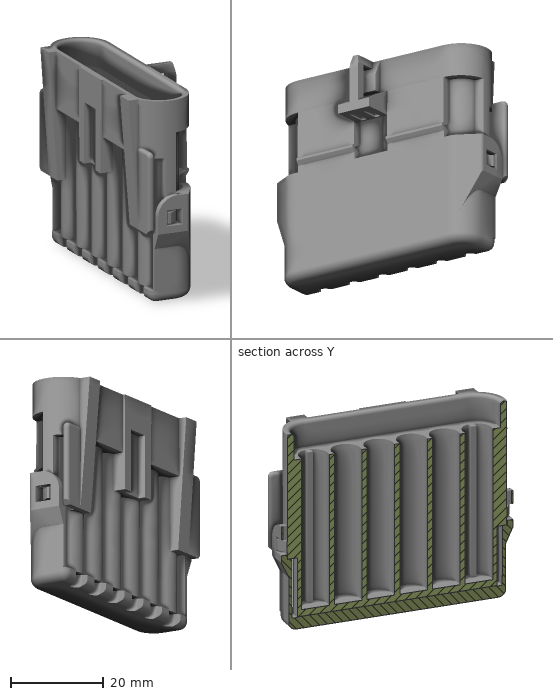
import cadquery as cq
import math


height = 45.55
wing_half_span = 27.55

tube_count = 6
pitch = 7.7
tube_radius = 4.5
tube_bottom_radius = 4.4
bore_radius = 3.35
bore_bottom_z = 4.4
end_tube_x = pitch * (tube_count - 1) / 2
tube_xs = [-end_tube_x + i * pitch for i in range(tube_count)]
key_width = 1.3
key_height = 1.65

shroud_radius = 6.65
shroud_front_z = 32.6
shroud_back_z = 38.15
shroud_step_y = 1.05
cavity_radius = 5.05
cavity_depth = 6.05
cavity_lip = 0.8

shroud_end_x = end_tube_x + shroud_radius
rail_front_y = -1.4
rail_bottom_z = 16.5
nub_reach = 1.4
nub_flat_y = -0.75
nub_bottom_z = 18.2
nub_top_z = 20.65

rib_inner_x = 17.8
rib_outer_x = 22.1
rib_lean = 0.3
rib_bottom_z = 16.2
rib_top_y = -8.5
rib_bottom_y = -6.3
wing_front_y = -6.3
wing_thickness = 1.5
wing_top_z = 34.65
wing_corner = 1.1
wing_round = 0.7

plate_half_top = 5.5
plate_half_bottom = 5.3
plate_bottom_z = 24.35
plate_front_y = -7.15
notch_half_width = 2.85
notch_depth = 1.6
notch_top_z = 38.2

latch_root_y = shroud_radius - 0.55
latch_half_width = 4.15
latch_back_y = 13.1
latch_bottom_z = 32.75
latch_base_back_z = 34.8
latch_bar_z = 43.6
latch_top_y = 12.45
latch_nose_drop = 2.75
latch_post_y = 11.0
latch_slot_x = 2.5
spine_half_width = 1.1
spine_top_half_width = 0.65
ledge_y = 8.5
ledge_slope_z = 41.85

strip_inner_x = 4.4
strip_outer_x = 19.4
hook_tip_y = 7.3
hook_root_y = 6.65
hook_z = 27.05
panel_top_y = 6.7
panel_bottom_y = 6.9
panel_bottom_z = 27.7
panel_lip_z = 27.4
panel_inner_z = 28.15
hook_outer_z = 25.9
hook_tip_thickness = 0.15
hook_inner_z = 26.0
hook_shoulder_y = 5.2
hook_shoulder_z = 26.3

cover_half_length = 25.6
cover_back_y = 6.6
cover_front_y = -3.9
cover_corner = 5.25
cover_top_z = 24.4
cover_inner_half_length = 24.8
cover_inner_back_y = 5.0
cover_inner_corner = 4.95
floor_top_z = 2.75
floor_front_y = -4.7
floor_front_corner = 1.85
floor_round = 1.8
wire_slot_width = 3.0
wire_slot_end_y = -1.9
wire_slot_mouth = 0.9

ear_x = 27.35
ear_slope = 29.0
ear_bottom_z = 16.0
ear_taper_z = 12.35
ear_front_radius = 4.5
ear_corner = 0.8
ear_slot_inner_x = 25.7
ear_slot_outer_x = 26.8
ear_slot_front_y = 1.0
window_front_y = -1.75
window_back_y = 2.05
window_bottom_z = 17.7
window_top_z = 21.25


def box(x0, x1, y0, y1, z0, z1):
    return cq.Workplane("XY").box(x1 - x0, y1 - y0, z1 - z0, centered=False).translate((x0, y0, z0))


def along_x(points, x0, x1):
    """Extrude a (Y, Z) outline from x0 to x1."""
    return cq.Workplane("YZ").polyline(points).close().extrude(x1 - x0).translate((x0, 0, 0))


def along_y(points, y0, y1):
    """Extrude an (X, Z) outline from y0 to y1."""
    return cq.Workplane("XZ").polyline(points).close().extrude(y1 - y0).translate((0, y1, 0))


def oblong(radius, z0, z1):
    """Slot-shaped block around the axes of the end tubes."""
    length = 2 * (end_tube_x + radius)
    return cq.Workplane("XY").workplane(offset=z0).slot2D(length, 2 * radius).extrude(z1 - z0)


def both_ends(shape):
    return shape.union(shape.mirror("YZ"))


def shroud_block():
    """Mating shroud, cut away below a step at the back, with a rail under each end."""
    block = oblong(shroud_radius, rail_bottom_z, height)
    reach = shroud_end_x + 0.55
    block = block.cut(box(-reach, reach, shroud_step_y, shroud_radius + 0.55, 0, shroud_back_z))
    block = block.cut(box(-reach, reach, -shroud_radius - 0.55, rail_front_y, 0, shroud_front_z))
    between_rails = box(-end_tube_x, end_tube_x, rail_front_y, shroud_step_y, 0, shroud_front_z)
    return block.cut(between_rails)


def tubes():
    """Row of overlapping tubes that narrow slightly towards the floor."""
    length = shroud_back_z - floor_top_z
    draft = math.degrees(math.atan((tube_radius - tube_bottom_radius) / length))
    tube = cq.Workplane("XY").workplane(offset=floor_top_z).circle(tube_bottom_radius)
    tube = tube.extrude(length, taper=-draft)
    row = tube.translate((tube_xs[0], 0, 0))
    for x in tube_xs[1:]:
        row = row.union(tube.translate((x, 0, 0)))
    return row


def cavity():
    return oblong(cavity_radius, height - cavity_depth, height)


def bores():
    """Tube bores; the two end bores keep a key along their front."""
    points = [(x, 0) for x in tube_xs]
    depth = height - cavity_depth - bore_bottom_z
    holes = cq.Workplane("XY").workplane(offset=bore_bottom_z).pushPoints(points)
    holes = holes.circle(bore_radius).extrude(depth)
    for x in (tube_xs[0], tube_xs[-1]):
        key = box(x - key_width / 2, x + key_width / 2, -bore_radius - 0.55, key_height - bore_radius,
                  bore_bottom_z, height - cavity_depth)
        holes = holes.cut(key)
    return holes


def front_ribs():
    """Tapered, slightly leaning ribs with thin rounded wings that reach past the shroud's ends."""
    profile = [(0, height), (rib_top_y, height), (rib_bottom_y, rib_bottom_z), (0, rib_bottom_z)]
    rib = along_x(profile, rib_inner_x, rib_outer_x + rib_lean)
    face = [(rib_inner_x, height), (rib_outer_x, height),
            (rib_outer_x + rib_lean, rib_bottom_z), (rib_inner_x + rib_lean, rib_bottom_z)]
    rib = rib.intersect(along_y(face, rib_top_y, 0))
    wing = box(rib_inner_x + rib_lean, wing_half_span, wing_front_y, wing_front_y + wing_thickness,
               rib_bottom_z, wing_top_z)
    wing = wing.edges("|Y").edges("<Z and >X").chamfer(wing_corner)
    wing = wing.edges("|Y").edges(">Z and >X").fillet(wing_corner)
    wing = wing.faces(">X").edges("|Z").fillet(wing_round)
    return both_ends(rib.union(wing))


def front_plate():
    outline = [(-plate_half_top, height), (plate_half_top, height),
               (plate_half_bottom, plate_bottom_z), (-plate_half_bottom, plate_bottom_z)]
    return along_y(outline, plate_front_y, -tube_radius / 2)


def plate_notch():
    return box(-notch_half_width, notch_half_width, plate_front_y, plate_front_y + notch_depth,
               plate_bottom_z, notch_top_z)


def latch_spine():
    """Central loop whose sides lean in along the top bar."""
    outline = [(latch_root_y, height), (latch_top_y, height), (latch_back_y, height - latch_nose_drop),
               (latch_back_y, latch_bottom_z), (latch_root_y, latch_bottom_z)]
    window = [(shroud_radius, latch_bar_z), (latch_post_y, latch_bar_z),
              (latch_post_y, latch_bottom_z), (shroud_radius, latch_bottom_z)]
    spine = along_x(outline, -spine_half_width, spine_half_width)
    spine = spine.cut(along_x(window, -spine_half_width, spine_half_width))
    lean = [(spine_top_half_width, height), (spine_half_width, height), (spine_half_width, latch_bar_z)]
    return spine.cut(both_ends(along_y(lean, latch_root_y, latch_back_y)))


def latch_base():
    """Sloped block under the spine, with an open slot on each side of it."""
    outline = [(latch_root_y, shroud_back_z), (shroud_radius, shroud_back_z),
               (latch_back_y, latch_base_back_z), (latch_back_y, latch_bottom_z),
               (latch_root_y, latch_bottom_z)]
    base = along_x(outline, -latch_half_width, latch_half_width)
    slot = box(spine_half_width, latch_slot_x, shroud_radius, latch_post_y, latch_bottom_z, height)
    return base.cut(both_ends(slot))


def latch_ledge():
    outline = [(latch_root_y, height), (shroud_radius, height), (ledge_y, ledge_slope_z),
               (ledge_y, shroud_back_z), (latch_root_y, shroud_back_z)]
    return along_x(outline, -latch_slot_x, latch_slot_x)


def back_panels():
    """Panels behind the tubes whose lower edges end in an outward lip."""
    profile = [(tube_radius / 2, shroud_back_z), (panel_top_y, shroud_back_z),
               (panel_bottom_y, panel_bottom_z), (hook_tip_y, panel_lip_z), (hook_tip_y, hook_z),
               (hook_root_y, hook_z), (tube_radius, panel_inner_z), (tube_radius / 2, panel_inner_z)]
    return both_ends(along_x(profile, strip_inner_x, strip_outer_x))


def latch_nubs():
    """Ramped nubs that sit in the windows of the cover's ears."""
    outline = [(shroud_end_x - 0.55, shroud_step_y), (shroud_end_x, shroud_step_y),
               (shroud_end_x + nub_reach, nub_flat_y), (shroud_end_x + nub_reach, rail_front_y),
               (shroud_end_x - 0.55, rail_front_y)]
    nub = cq.Workplane("XY").workplane(offset=nub_bottom_z).polyline(outline).close()
    return both_ends(nub.extrude(nub_top_z - nub_bottom_z))


def round_cavity_rim(body):
    """Fillet the top edges that lie just around the cavity's mouth."""
    reach_x = end_tube_x + cavity_radius + cavity_lip / 2
    reach_y = cavity_radius + cavity_lip / 2
    around_cavity = cq.selectors.BoxSelector(
        (-reach_x, -reach_y, height - 0.05), (reach_x, reach_y, height + 0.05), boundingbox=True)
    return body.edges(around_cavity).fillet(cavity_lip)


def make_housing():
    body = shroud_block().union(tubes()).union(front_ribs()).union(front_plate())
    body = body.union(latch_spine()).union(latch_base()).union(latch_ledge())
    body = body.union(back_panels()).union(latch_nubs())
    body = body.cut(plate_notch()).cut(cavity()).cut(bores())
    return round_cavity_rim(body)


def tray_outer():
    """Outside of the back and end walls, with rounded back corners."""
    block = box(-cover_half_length, cover_half_length, cover_front_y, cover_back_y,
                floor_top_z, cover_top_z)
    return block.edges("|Z and >Y").fillet(cover_corner)


def ears():
    """Bulges on the end walls: slanted at the back, tapering into the wall below."""
    slope = math.radians(ear_slope)
    tangent_x = cover_half_length - cover_corner + cover_corner * math.sin(slope)
    tangent_y = cover_back_y - cover_corner + cover_corner * math.cos(slope)
    slant_end_y = tangent_y - (ear_x - tangent_x) * math.tan(slope)
    plan = [(0, cover_front_y), (ear_x, cover_front_y), (ear_x, slant_end_y),
            (tangent_x, tangent_y), (0, tangent_y)]
    ear = cq.Workplane("XY").polyline(plan).close().extrude(cover_top_z)
    ear = ear.faces(">X").edges("|Z").edges(">Y").fillet(ear_corner)
    taper = (ear_x - cover_half_length) / (ear_bottom_z - ear_taper_z)
    side = [(0, cover_top_z), (ear_x, cover_top_z), (ear_x, ear_bottom_z),
            (ear_x - taper * (ear_bottom_z - floor_top_z), floor_top_z), (0, floor_top_z)]
    return both_ends(ear.intersect(along_y(side, cover_front_y, cover_back_y)))


def tray_inside():
    """Room for the tubes, widened near the top for the rails."""
    reach = cover_inner_half_length
    room = box(-reach, reach, floor_front_y, cover_inner_back_y, floor_top_z, cover_top_z)
    room = room.edges("|Z and >Y").fillet(cover_inner_corner)
    rail_room = box(-shroud_end_x, shroud_end_x, cover_front_y, shroud_step_y, rail_bottom_z, cover_top_z)
    return room.union(rail_room)


def ear_windows():
    return box(-wing_half_span, wing_half_span, window_front_y, window_back_y,
               window_bottom_z, window_top_z)


def ear_slots():
    """Narrow slots that run down from the top of each ear into its window."""
    return both_ends(box(ear_slot_inner_x, ear_slot_outer_x, ear_slot_front_y, window_back_y,
                         window_bottom_z, cover_top_z))


def wire_slot():
    """Round-ended slot that flares at its mouth."""
    half = wire_slot_width / 2
    flare = half + wire_slot_mouth
    arc_start_y = wire_slot_end_y - half
    slot = cq.Workplane("XY").moveTo(-flare, floor_front_y)
    slot = slot.lineTo(-half, floor_front_y + wire_slot_mouth)
    slot = slot.lineTo(-half, arc_start_y)
    slot = slot.threePointArc((0, wire_slot_end_y), (half, arc_start_y))
    slot = slot.lineTo(half, floor_front_y + wire_slot_mouth).lineTo(flare, floor_front_y)
    return slot.close().extrude(floor_top_z)


def cover_floor():
    """Floor with a rounded underside, notched at the front under each tube."""
    floor = box(-cover_half_length, cover_half_length, floor_front_y, cover_back_y, 0, floor_top_z)
    floor = floor.edges("|Z and >Y").fillet(cover_corner)
    floor = floor.edges("|Z and <Y").fillet(floor_front_corner)
    floor = floor.faces("<Z").edges().fillet(floor_round)
    for x in tube_xs:
        floor = floor.cut(wire_slot().translate((x, 0, 0)))
    return floor


def hook_strips():
    """Strips along the top of the back wall that hook under the housing's panels."""
    profile = [(cover_inner_back_y, cover_top_z), (cover_back_y, cover_top_z),
               (cover_back_y, hook_outer_z), (hook_tip_y, hook_z - hook_tip_thickness), (hook_tip_y, hook_z),
               (hook_root_y, hook_z), (hook_shoulder_y, hook_shoulder_z), (cover_inner_back_y, hook_inner_z)]
    return both_ends(along_x(profile, strip_inner_x, strip_outer_x))


def make_cover():
    walls = tray_outer().union(ears())
    walls = walls.edges("|X and >Z and <Y").fillet(ear_front_radius)
    walls = walls.cut(tray_inside()).cut(ear_windows()).cut(ear_slots())
    return walls.union(cover_floor()).union(hook_strips())


housing = make_housing()
cover = make_cover()

result = cq.Compound.makeCompound([housing.val(), cover.val()])